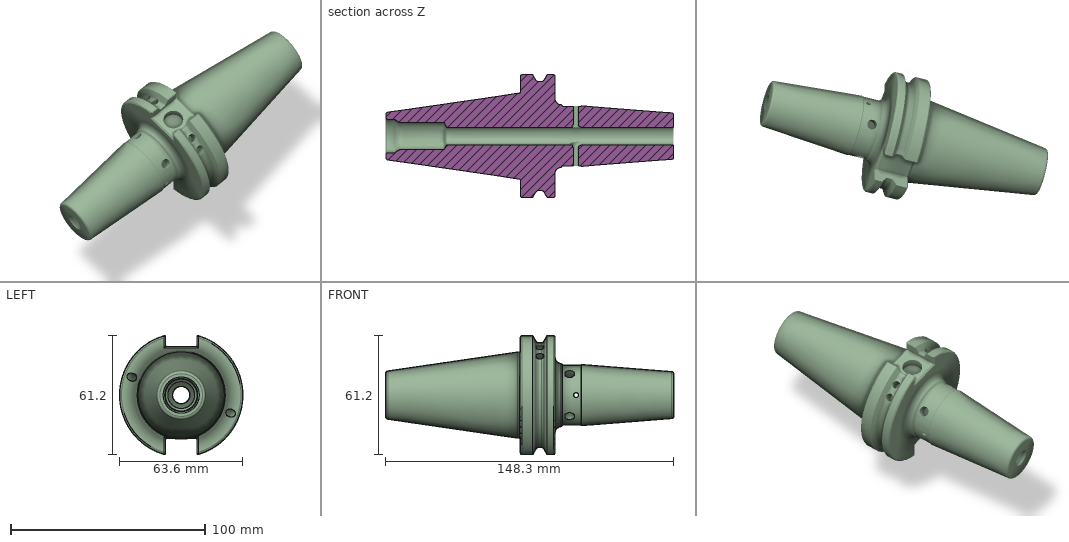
import cadquery as cq
import math

TAIL_X = -68.25
FLANGE_BACK_X = 1.0
GROOVE_X = 11.1
FLANGE_FRONT_X = 19.0
BAND_START_X = 22.05
BAND_END_X = 32.5
NOSE_X = 80.0

GAUGE_R = 44.45 / 2
TAPER_SLOPE = 7 / 48
TAPER_END_X = -0.3
TAIL_FILLET = 1.5
TAPER_ROOT_FILLET = 0.5

FLANGE_R = 63.55 / 2
FLANGE_FILLET = 1.0
GROOVE_FLOOR_R = 28.2
GROOVE_FLOOR_HALF_WIDTH = 1.65
GROOVE_HALF_ANGLE = 30.0
GROOVE_FILLET = 1.2

NOSE_R = 12.0
NOSE_ANGLE = 4.5
NOSE_FILLET = 1.2
NECK_R = 16.3
NECK_FILLET = 3.0
BAND_R = 15.45
BAND_CHAMFER_LENGTH = 0.8
BAND_STEP_LENGTH = 0.3

BORE_R = 4.4
THREAD_R = 6.9
PILOT_R = 8.5
THREAD_MOUTH_R = 8.2
PILOT_MOUTH_R = 9.3
PILOT_DEPTH = 5.0
PILOT_MOUTH_DEPTH = 0.9
THREAD_DEPTH = 30.0
DRILL_TIP_SLOPE = math.tan(math.radians(30))
COUNTERSINK_SLOPE = math.tan(math.radians(60))

SLOT_WIDTH = 16.1
SLOT_CORNER_R = 0.5
SLOT_CHAMFER = 0.85
SLOT_RIM_CHAMFER = 0.45
TOP_SLOT_FLOOR = 25.0
BOTTOM_SLOT_FLOOR = 22.3

FLOOR_HOLE_R = 5.1
FLOOR_HOLE_DEPTH = 4.3
GROOVE_HOLE_R = 2.0
GROOVE_HOLE_DEPTH = 6.0
GROOVE_HOLE_ANGLES = (-45, -30, 30, 45)
BALANCE_HOLE_R = 2.5
BALANCE_HOLE_X = 26.4
BALANCE_HOLE_DEPTH = 6.0
BALANCE_HOLE_ANGLES = (45, 135, 225, 315)
HOLE_OVERRUN = 1.0
CROSS_HOLE_R = 1.2
CROSS_HOLE_X = 29.7
COOLANT_HOLE_R = 2.0
COOLANT_HOLE_PITCH_R = 27.0
COOLANT_HOLE_TILT = 38.0
COOLANT_HOLE_ANGLE = 20.0


def revolve_about_x(points):
    """Solid of revolution from (x, radius) points."""
    profile = cq.Workplane("XZ").polyline(points).close()
    return profile.revolve(360, (0, 0, 0), (1, 0, 0))


def circle_edges(solid, x, radius):
    """Circular edges about the X axis at the given station and radius."""
    tolerance = 0.02

    def matches(edge):
        box = edge.BoundingBox()
        return (
            abs(box.xmin - x) < tolerance
            and abs(box.xmax - x) < tolerance
            and abs(box.zmax - radius) < tolerance
        )

    return solid.newObject([edge for edge in solid.edges().vals() if matches(edge)])


def make_body():
    tail_r = GAUGE_R + TAIL_X * TAPER_SLOPE
    taper_end_r = GAUGE_R + TAPER_END_X * TAPER_SLOPE
    groove_depth = FLANGE_R - GROOVE_FLOOR_R
    groove_top = GROOVE_FLOOR_HALF_WIDTH + groove_depth * math.tan(math.radians(GROOVE_HALF_ANGLE))
    cone_r = NOSE_R + (NOSE_X - BAND_END_X) * math.tan(math.radians(NOSE_ANGLE))
    groove_floor_back_x = GROOVE_X - GROOVE_FLOOR_HALF_WIDTH
    groove_floor_front_x = GROOVE_X + GROOVE_FLOOR_HALF_WIDTH
    body = revolve_about_x([
        (TAIL_X, 0),
        (TAIL_X, tail_r),
        (TAPER_END_X, taper_end_r),
        (FLANGE_BACK_X, taper_end_r),
        (FLANGE_BACK_X, FLANGE_R),
        (GROOVE_X - groove_top, FLANGE_R),
        (groove_floor_back_x, GROOVE_FLOOR_R),
        (groove_floor_front_x, GROOVE_FLOOR_R),
        (GROOVE_X + groove_top, FLANGE_R),
        (FLANGE_FRONT_X, FLANGE_R),
        (FLANGE_FRONT_X, NECK_R),
        (BAND_START_X, NECK_R),
        (BAND_START_X + BAND_CHAMFER_LENGTH, BAND_R),
        (BAND_END_X - BAND_STEP_LENGTH, BAND_R),
        (BAND_END_X, cone_r),
        (NOSE_X, NOSE_R),
        (NOSE_X, 0),
    ])
    rounds = [
        (TAIL_X, tail_r, TAIL_FILLET),
        (FLANGE_BACK_X, taper_end_r, TAPER_ROOT_FILLET),
        (FLANGE_BACK_X, FLANGE_R, FLANGE_FILLET),
        (groove_floor_back_x, GROOVE_FLOOR_R, GROOVE_FILLET),
        (groove_floor_front_x, GROOVE_FLOOR_R, GROOVE_FILLET),
        (FLANGE_FRONT_X, FLANGE_R, FLANGE_FILLET),
        (FLANGE_FRONT_X, NECK_R, NECK_FILLET),
        (NOSE_X, NOSE_R, NOSE_FILLET),
    ]
    for x, radius, fillet in rounds:
        body = circle_edges(body, x, radius).fillet(fillet)
    return body


def make_bore():
    thread_start_x = TAIL_X + PILOT_DEPTH
    thread_end_x = TAIL_X + THREAD_DEPTH
    thread_mouth_depth = (THREAD_MOUTH_R - THREAD_R) * COUNTERSINK_SLOPE
    thread_cone = (THREAD_R - BORE_R) * DRILL_TIP_SLOPE
    return revolve_about_x([
        (TAIL_X, 0),
        (TAIL_X, PILOT_MOUTH_R),
        (TAIL_X + PILOT_MOUTH_DEPTH, PILOT_R),
        (thread_start_x, PILOT_R),
        (thread_start_x, THREAD_MOUTH_R),
        (thread_start_x + thread_mouth_depth, THREAD_R),
        (thread_end_x, THREAD_R),
        (thread_end_x + thread_cone, BORE_R),
        (NOSE_X, BORE_R),
        (NOSE_X, 0),
    ])


def make_slot(floor_z):
    """Drive slot above floor_z, flared at the two flange faces and chamfered at the rim."""
    length = FLANGE_FRONT_X - FLANGE_BACK_X
    height = FLANGE_R - floor_z

    def section(x, growth):
        return (
            cq.Workplane("YZ", origin=(x, 0, 0))
            .center(0, floor_z - growth + (height + growth) / 2)
            .rect(SLOT_WIDTH + 2 * growth, height + growth)
        )

    slot = section(FLANGE_BACK_X, 0).extrude(length).edges("|X and <Z").fillet(SLOT_CORNER_R)
    flare_back = (
        section(FLANGE_BACK_X, SLOT_CHAMFER)
        .workplane(offset=SLOT_CHAMFER)
        .center(0, SLOT_CHAMFER / 2)
        .rect(SLOT_WIDTH, height)
        .loft(ruled=True)
    )
    middle_x = (FLANGE_BACK_X + FLANGE_FRONT_X) / 2
    flare_front = flare_back.mirror("YZ", (middle_x, 0, 0))
    half_width = SLOT_WIDTH / 2
    rim_half_width = half_width + SLOT_RIM_CHAMFER
    rim_z = math.sqrt(FLANGE_R**2 - rim_half_width**2)
    rim = (
        cq.Workplane("YZ", origin=(FLANGE_BACK_X, 0, 0))
        .moveTo(-half_width, rim_z - SLOT_RIM_CHAMFER)
        .lineTo(half_width, rim_z - SLOT_RIM_CHAMFER)
        .lineTo(rim_half_width, rim_z)
        .lineTo(rim_half_width, FLANGE_R)
        .lineTo(-rim_half_width, FLANGE_R)
        .lineTo(-rim_half_width, rim_z)
        .close()
        .extrude(length)
    )
    return slot.union(flare_back).union(flare_front).union(rim)


def radial_hole(x, angle, mouth_r, depth, hole_r):
    """Blind hole pointing at the axis; angle is turned about X from +Z."""
    hole = cq.Workplane("XY", origin=(x, 0, mouth_r - depth)).circle(hole_r).extrude(depth + HOLE_OVERRUN)
    return hole.rotate((0, 0, 0), (1, 0, 0), angle)


def coolant_hole(angle):
    """Hole from the back flange face slanting in to the bore; angle is turned about X from +Y."""
    tilt = math.radians(COOLANT_HOLE_TILT)
    direction = cq.Vector(math.cos(tilt), -math.sin(tilt), 0)
    mouth = cq.Vector(FLANGE_BACK_X, COOLANT_HOLE_PITCH_R, 0)
    overrun = 2 * COOLANT_HOLE_R
    length = (COOLANT_HOLE_PITCH_R - BORE_R / 2) / math.sin(tilt)
    hole = cq.Solid.makeCylinder(
        COOLANT_HOLE_R, length + overrun, mouth - direction * overrun, direction
    )
    return cq.Workplane(hole).rotate((0, 0, 0), (1, 0, 0), angle)


result = make_body().cut(make_bore())
result = result.cut(make_slot(TOP_SLOT_FLOOR))
result = result.cut(make_slot(BOTTOM_SLOT_FLOOR).rotate((0, 0, 0), (1, 0, 0), 180))
result = result.cut(radial_hole(GROOVE_X, 0, TOP_SLOT_FLOOR, FLOOR_HOLE_DEPTH, FLOOR_HOLE_R))
for hole_angle in GROOVE_HOLE_ANGLES:
    result = result.cut(radial_hole(GROOVE_X, hole_angle, GROOVE_FLOOR_R, GROOVE_HOLE_DEPTH, GROOVE_HOLE_R))
for hole_angle in BALANCE_HOLE_ANGLES:
    result = result.cut(radial_hole(BALANCE_HOLE_X, hole_angle, BAND_R, BALANCE_HOLE_DEPTH, BALANCE_HOLE_R))
for hole_angle in (COOLANT_HOLE_ANGLE, COOLANT_HOLE_ANGLE + 180):
    result = result.cut(coolant_hole(hole_angle))
cross_hole = cq.Workplane("XZ", origin=(CROSS_HOLE_X, 0, 0)).circle(CROSS_HOLE_R).extrude(NECK_R, both=True)
result = result.cut(cross_hole)